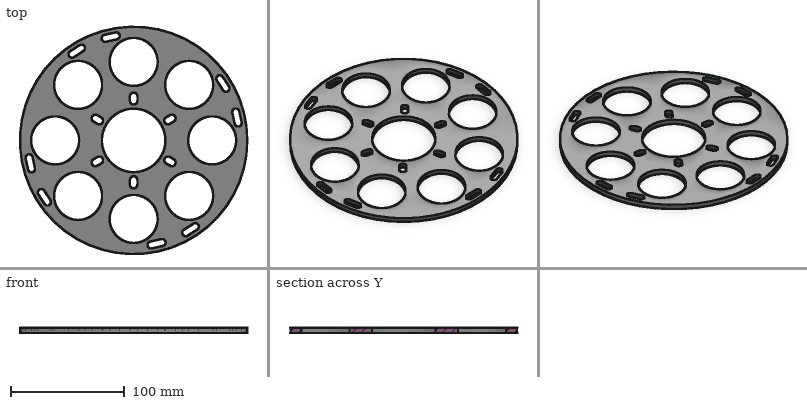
import cadquery as cq

disc_diameter = 200.0
thickness = 4.8

bore_diameter = 55.5
window_diameter = 42.0
window_circle_radius = 69.0
window_count = 8

inner_slot_length = 10.5
inner_slot_width = 6.5
inner_slot_radius = 36.8
inner_slot_count = 6
inner_slot_start_angle = 30.0

rim_slot_length = 16.0
rim_slot_width = 6.0
rim_slot_radius = 93.0
rim_pair_count = 4
rim_pair_angle = 180.0 / window_count
rim_slot_offset_angle = 10.0


def slot_cutter(length, width, radius, angle, turn):
    """Through slot centred at a polar position, turned from the radial direction."""
    return (
        cq.Workplane("XY")
        .center(radius, 0)
        .slot2D(length, width, turn)
        .extrude(thickness)
        .rotate((0, 0, 0), (0, 0, 1), angle)
    )


result = (
    cq.Workplane("XY")
    .circle(disc_diameter / 2)
    .circle(bore_diameter / 2)
    .extrude(thickness)
    .faces(">Z")
    .workplane(origin=(0, 0, thickness))
    .polarArray(window_circle_radius, 0, 360, window_count)
    .hole(window_diameter)
)

for index in range(inner_slot_count):
    angle = inner_slot_start_angle + index * 360.0 / inner_slot_count
    result = result.cut(
        slot_cutter(inner_slot_length, inner_slot_width, inner_slot_radius, angle, 0)
    )

for index in range(rim_pair_count):
    pair_angle = rim_pair_angle + index * 360.0 / rim_pair_count
    for offset in (-rim_slot_offset_angle, rim_slot_offset_angle):
        result = result.cut(
            slot_cutter(rim_slot_length, rim_slot_width, rim_slot_radius, pair_angle + offset, 90)
        )